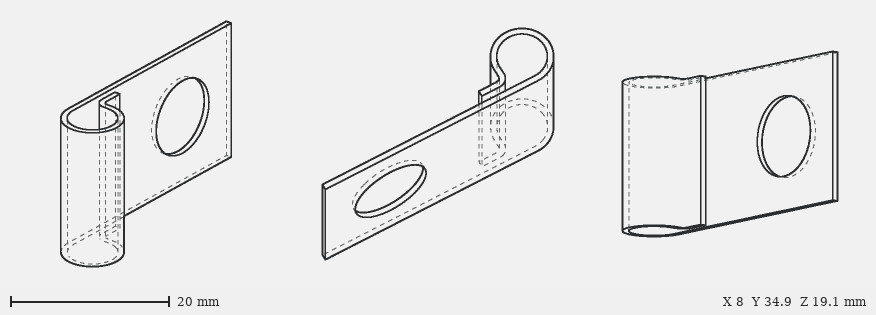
import cadquery as cq

length = 34.92
width = 19.05
thickness = 0.8
loop_diameter = 8.0
lip_gap = 0.85
lip_end_height = 11.2
bend_inner_radius = 0.6
hole_diameter = 10.3
hole_to_end = 9.5

outer_radius = loop_diameter / 2
inner_radius = outer_radius - thickness
bend_outer_radius = bend_inner_radius + thickness
plate_end_y = length - outer_radius
lip_end_y = lip_end_height - outer_radius
lip_left_x = -outer_radius + thickness + lip_gap
lip_right_x = lip_left_x + thickness
bend_x = lip_right_x + bend_inner_radius
bend_y = outer_radius + bend_inner_radius


def make_strip():
    """Bent strip: straight plate, three-quarter loop, short lip parallel to the plate."""
    return (
        cq.Workplane("XY")
        .moveTo(-outer_radius, plate_end_y)
        .lineTo(-outer_radius, 0)
        .radiusArc((0, -outer_radius), -outer_radius)
        .radiusArc((outer_radius, 0), -outer_radius)
        .radiusArc((0, outer_radius), -outer_radius)
        .lineTo(bend_x, outer_radius)
        .radiusArc((lip_right_x, bend_y), bend_inner_radius)
        .lineTo(lip_right_x, lip_end_y)
        .lineTo(lip_left_x, lip_end_y)
        .lineTo(lip_left_x, bend_y)
        .radiusArc((bend_x, inner_radius), -bend_outer_radius)
        .lineTo(0, inner_radius)
        .radiusArc((inner_radius, 0), inner_radius)
        .radiusArc((0, -inner_radius), inner_radius)
        .radiusArc((-inner_radius, 0), inner_radius)
        .lineTo(-inner_radius, plate_end_y)
        .close()
        .extrude(width / 2, both=True)
    )


def make_hole_cutter():
    """Cylinder along X that passes through the plate only."""
    return (
        cq.Workplane("YZ", origin=(-outer_radius, 0, 0))
        .center(plate_end_y - hole_to_end, 0)
        .circle(hole_diameter / 2)
        .extrude(thickness)
    )


result = make_strip().cut(make_hole_cutter())